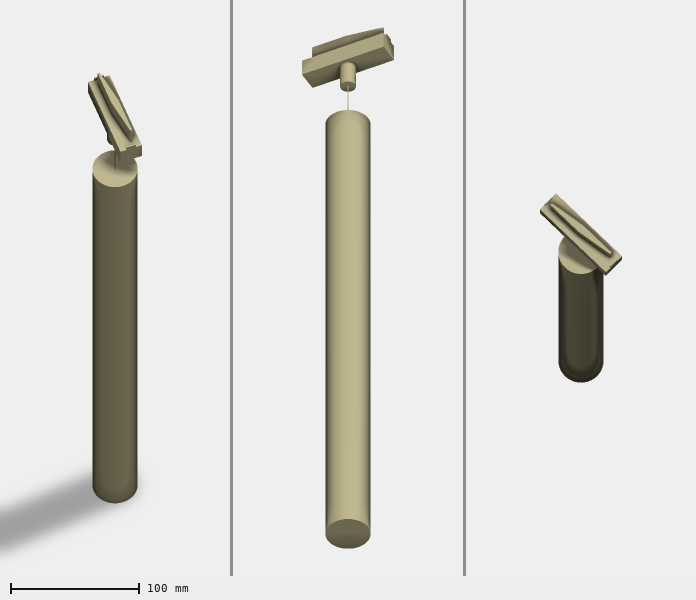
import cadquery as cq

total_height = 510.0
tube_height = 420.5
stem_bottom = 460.0
adapter_bottom = 479.5
adapter_top = 494.0

tube_diameter = 35.0
cable_diameter = 1.0
stem_diameter = 12.0

adapter_length = 71.5
adapter_width = 18.0
tab_length = 1.0
tab_width = 7.5
tab_height = 3.0

blade_length = 60.0
blade_width = 6.0
blade_tip_width = 1.8


def cylinder(diameter, bottom, top):
    """Upright cylinder on the central axis."""
    return cq.Workplane("XY").workplane(offset=bottom).circle(diameter / 2).extrude(top - bottom)


def block(length, width, bottom, top, center_x=0):
    """Upright block centred across the width."""
    return (
        cq.Workplane("XY", origin=(center_x, 0, bottom))
        .rect(length, width)
        .extrude(top - bottom)
    )


def contact_blade():
    """Blade with opposite tapers, symmetric under a half turn about Z."""
    end_x = blade_length / 2
    face_y = blade_width / 2
    taper_y = face_y - blade_tip_width
    outline = [
        (-end_x, -face_y),
        (0, -face_y),
        (end_x, taper_y),
        (end_x, face_y),
        (0, face_y),
        (-end_x, -taper_y),
    ]
    return (
        cq.Workplane("XY")
        .workplane(offset=adapter_top)
        .polyline(outline)
        .close()
        .extrude(total_height - adapter_top)
    )


result = cylinder(tube_diameter, 0, tube_height)
result = result.union(cylinder(cable_diameter, tube_height, stem_bottom))
result = result.union(cylinder(stem_diameter, stem_bottom, adapter_bottom))

result = result.union(block(adapter_length, adapter_width, adapter_bottom, adapter_top))
result = result.union(contact_blade())

tab_x = (adapter_length - tab_length) / 2
for side in (-1, 1):
    tab = block(tab_length, tab_width, adapter_top, adapter_top + tab_height, side * tab_x)
    result = result.union(tab)